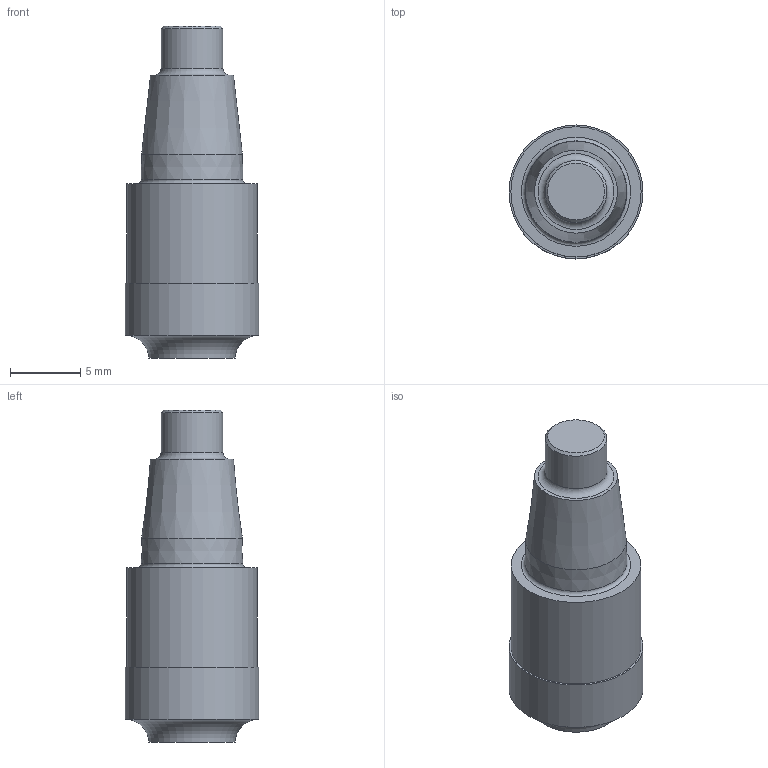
import cadquery as cq
import math

total_height = 23.6
flare_height = 1.62
split_height = 5.3
shoulder_height = 12.4
taper_start_height = 14.5
post_length = 3.5
post_base_height = total_height - post_length

base_radius = 9.52 / 2
barrel_radius = 4.63
neck_radius = 3.62
neck_top_radius = 3.575
taper_top_radius = 2.95
post_radius = 2.2

flare_radius = 1.7
neck_fillet = 0.26
post_fillet = 0.5
post_chamfer = 0.18


def concave_arc_middle(center_radius, center_height, arc_radius, upward):
    """Point halfway along a quarter arc on the axis side of its center."""
    offset = arc_radius * math.sqrt(0.5)
    return (center_radius - offset, center_height + upward * offset)


def make_base():
    """Cylindrical cap whose underside sweeps in to a narrow flat foot."""
    flare_center_height = flare_height - flare_radius
    foot_radius = base_radius - math.sqrt(flare_radius**2 - flare_center_height**2)
    flare_middle = concave_arc_middle(base_radius, flare_center_height, flare_radius, 1)
    return (
        cq.Workplane("XZ")
        .moveTo(0, 0)
        .lineTo(foot_radius, 0)
        .threePointArc(flare_middle, (base_radius, flare_height))
        .lineTo(base_radius, split_height)
        .lineTo(0, split_height)
        .close()
        .revolve(360, (0, 0), (0, 1))
    )


def make_stem():
    """Barrel, slightly tapered neck, steeper taper and end post stacked on one axis."""
    neck_fillet_center = (neck_radius + neck_fillet, shoulder_height + neck_fillet)
    neck_fillet_middle = concave_arc_middle(*neck_fillet_center, neck_fillet, -1)
    post_fillet_center = (post_radius + post_fillet, post_base_height + post_fillet)
    post_fillet_middle = concave_arc_middle(*post_fillet_center, post_fillet, -1)
    return (
        cq.Workplane("XZ")
        .moveTo(0, split_height)
        .lineTo(barrel_radius, split_height)
        .lineTo(barrel_radius, shoulder_height)
        .lineTo(neck_fillet_center[0], shoulder_height)
        .threePointArc(neck_fillet_middle, (neck_radius, neck_fillet_center[1]))
        .lineTo(neck_top_radius, taper_start_height)
        .lineTo(taper_top_radius, post_base_height)
        .lineTo(post_fillet_center[0], post_base_height)
        .threePointArc(post_fillet_middle, (post_radius, post_fillet_center[1]))
        .lineTo(post_radius, total_height - post_chamfer)
        .lineTo(post_radius - post_chamfer, total_height)
        .lineTo(0, total_height)
        .close()
        .revolve(360, (0, 0), (0, 1))
    )


base = make_base()
stem = make_stem()

result = cq.Compound.makeCompound([base.val(), stem.val()])